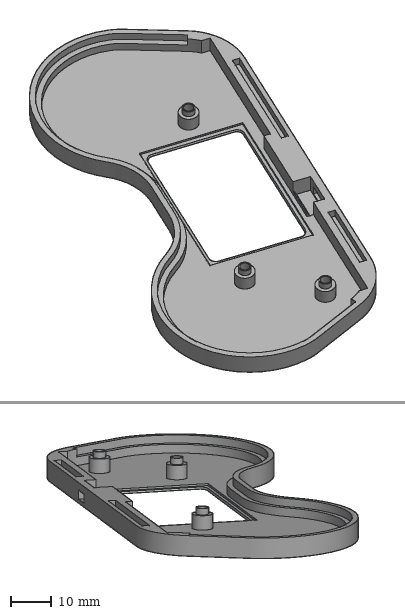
import cadquery as cq
import math

half_width = 62.81
half_depth = 28.4
plate_height = 5.25
floor_thickness = 1.0
total_height = 6.25

grip_radius = 24.5
blend_radius = 16.0
waist_y = -11.55
shoulder_angle = 180 - 25.4
blend_contact_angle = 180 - 12.0

rim_width = 1.5
wall_width = 3.0
ledge_z = 3.2

bar_front_y = 23.3
cavity_half_width = 49.5
step_front_y = 21.5
step_left_x = -11.6
step_right_x = 15.45

slot_front_y = 25.2
slot_back_y = 27.1
slot_depth = 2.0
slot_x_ranges = [(-39.9, -9.2), (20.25, 40.0)]

pocket_left_x = 6.6
pocket_back_y = 26.3
pocket_floor_z = 0.6
ridge_crest_width = 0.3
ridge_ramp_foot_y = 22.5
ridge_top_z = 2.0
opening_margin = 1.9
opening_sill_z = floor_thickness
opening_top_z = 3.3

window_y = 6.35
seat_width = 44.4
seat_depth_y = 28.0
seat_sink = 0.5
window_width = 42.2
window_depth_y = 26.2
window_corner_radius = 2.0
window_bevel = 0.25

boss_diameter = 5.2
collar_diameter = 3.2
screw_hole_diameter = 2.5
boss_top_z = 4.65
boss_centers = [(-27.5, 7.95), (31.1, -2.1), (43.5, 14.4)]


def polar(center, radius, angle):
    """Point at a distance and an angle in degrees from a center."""
    a = math.radians(angle)
    return (center[0] + radius * math.cos(a), center[1] + radius * math.sin(a))


grip_center = (grip_radius - half_width, grip_radius - half_depth)
side_center = polar(grip_center, grip_radius - blend_radius, blend_contact_angle)
corner_y = half_depth - blend_radius
shoulder_run = (corner_y - side_center[1]) / math.tan(math.radians(shoulder_angle - 90))
corner_center = (side_center[0] + shoulder_run, corner_y)
waist_center_y = waist_y - blend_radius
waist_rise = waist_center_y - grip_center[1]
waist_run = math.sqrt((grip_radius + blend_radius) ** 2 - waist_rise ** 2)
waist_center = (grip_center[0] + waist_run, waist_center_y)
waist_contact_angle = math.degrees(math.atan2(waist_rise, waist_run))


def block(x0, x1, y0, y1, z0, z1):
    """Axis-aligned box between two corners."""
    return cq.Workplane("XY").box(x1 - x0, y1 - y0, z1 - z0, centered=False).translate((x0, y0, z0))


def outline_prism(inset, z0, z1):
    """Prism of the outline, shrunk by an inset."""
    convex = blend_radius - inset
    hollow = blend_radius + inset
    grip = grip_radius - inset
    grip_end = 360 + waist_contact_angle
    hollow_start = 180 + waist_contact_angle
    half = (
        cq.Workplane("XY")
        .workplane(offset=z0)
        .moveTo(0, half_depth - inset)
        .lineTo(corner_center[0], half_depth - inset)
        .threePointArc(
            polar(corner_center, convex, (90 + shoulder_angle) / 2),
            polar(corner_center, convex, shoulder_angle),
        )
        .lineTo(*polar(side_center, convex, shoulder_angle))
        .threePointArc(
            polar(side_center, convex, (shoulder_angle + blend_contact_angle) / 2),
            polar(side_center, convex, blend_contact_angle),
        )
        .threePointArc(
            polar(grip_center, grip, (blend_contact_angle + grip_end) / 2),
            polar(grip_center, grip, grip_end),
        )
        .threePointArc(
            polar(waist_center, hollow, (hollow_start + 90) / 2),
            (waist_center[0], waist_center[1] + hollow),
        )
        .lineTo(0, waist_y + inset)
        .close()
        .extrude(z1 - z0)
    )
    return half.union(half.mirror("YZ"))


def cavity():
    """Main hollow in front of the back bar, squared off at its back corners."""
    inside = outline_prism(wall_width, floor_thickness, plate_height)
    front = block(-half_width, half_width, -half_depth, bar_front_y, floor_thickness, plate_height)
    back = block(
        -cavity_half_width, cavity_half_width, corner_y, bar_front_y, floor_thickness, plate_height
    )
    step = block(step_left_x, step_right_x, step_front_y, bar_front_y, floor_thickness, plate_height)
    return inside.intersect(front).union(back).cut(step)


def ledge_cut():
    """Upper step of the wall, ending square to the shoulders where the back corners begin."""
    reach = 2 * blend_radius
    end_x, end_y = polar(corner_center, reach, shoulder_angle)
    area = (
        cq.Workplane("XY")
        .workplane(offset=ledge_z)
        .polyline([
            corner_center,
            (end_x, end_y),
            (end_x, -half_depth),
            (-end_x, -half_depth),
            (-end_x, end_y),
            (-corner_center[0], corner_y),
        ])
        .close()
        .extrude(plate_height - ledge_z)
    )
    return outline_prism(rim_width, ledge_z, plate_height).intersect(area)


def switch_pocket():
    """Pocket with an opening through the wall behind it."""
    pocket = block(
        pocket_left_x, step_right_x, step_front_y, pocket_back_y, pocket_floor_z, plate_height
    )
    opening = block(
        pocket_left_x + opening_margin,
        step_right_x - opening_margin,
        pocket_back_y,
        half_depth,
        opening_sill_z,
        opening_top_z,
    )
    return pocket.union(opening)


def retaining_ridge():
    """Ridge along the pocket front, ramped down towards the pocket."""
    return (
        cq.Workplane("YZ")
        .workplane(offset=pocket_left_x)
        .polyline([
            (step_front_y, pocket_floor_z),
            (step_front_y, ridge_top_z),
            (step_front_y + ridge_crest_width, ridge_top_z),
            (ridge_ramp_foot_y, pocket_floor_z),
        ])
        .close()
        .extrude(step_right_x - pocket_left_x)
    )


def display_window():
    """Rounded through window with sloped sides, inside a rectangular seat."""
    seat_z = floor_thickness - seat_sink
    seat = block(
        -seat_width / 2,
        seat_width / 2,
        window_y - seat_depth_y / 2,
        window_y + seat_depth_y / 2,
        seat_z,
        floor_thickness,
    )
    taper = math.degrees(math.atan2(window_bevel, seat_z))
    opening = (
        cq.Workplane("XY")
        .workplane(offset=seat_z)
        .center(0, window_y)
        .sketch()
        .rect(window_width, window_depth_y)
        .vertices()
        .fillet(window_corner_radius)
        .finalize()
        .extrude(-seat_z, taper=taper)
    )
    return seat.union(opening)


def cylinders(diameter, z0, z1):
    """One upright cylinder at every boss center."""
    return (
        cq.Workplane("XY")
        .workplane(offset=z0)
        .pushPoints(boss_centers)
        .circle(diameter / 2)
        .extrude(z1 - z0)
    )


result = outline_prism(0, 0, plate_height)
result = result.cut(cavity()).cut(ledge_cut())
for left_x, right_x in slot_x_ranges:
    result = result.cut(
        block(left_x, right_x, slot_front_y, slot_back_y, plate_height - slot_depth, plate_height)
    )
result = result.cut(switch_pocket()).union(retaining_ridge())
result = result.cut(display_window())
result = result.union(cylinders(boss_diameter, 0, boss_top_z))
result = result.union(cylinders(collar_diameter, 0, total_height))
result = result.cut(cylinders(screw_hole_diameter, 0, total_height))